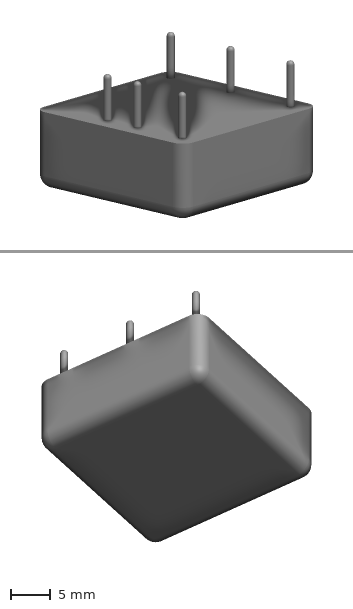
import cadquery as cq
import math

body_side = 25.4
body_height = 10.15
corner_radius = 1.78

pin_diameter = 1.02
pin_length = 6.0
pin_radius = pin_diameter / 2
shank_length = pin_length - pin_radius
grid_pitch = 2.55
row_offset = 4 * grid_pitch
back_row = [(x, row_offset) for x in (-row_offset, 0, row_offset)]
front_row = [(x, -row_offset) for x in (-grid_pitch, grid_pitch, row_offset)]


def make_body():
    block = cq.Workplane("XY").box(body_side, body_side, body_height, centered=(True, True, False))
    return block.edges("|Z").fillet(corner_radius).faces("<Z").edges().fillet(corner_radius)


def make_pin(x, y):
    arc_offset = pin_radius * math.sqrt(0.5)
    profile = (
        cq.Workplane("XZ")
        .lineTo(pin_radius, 0)
        .lineTo(pin_radius, shank_length)
        .threePointArc((arc_offset, shank_length + arc_offset), (0, pin_length))
        .close()
    )
    return profile.revolve(360, (0, 0), (0, 1)).translate((x, y, body_height))


result = make_body()
for x, y in back_row + front_row:
    result = result.union(make_pin(x, y))